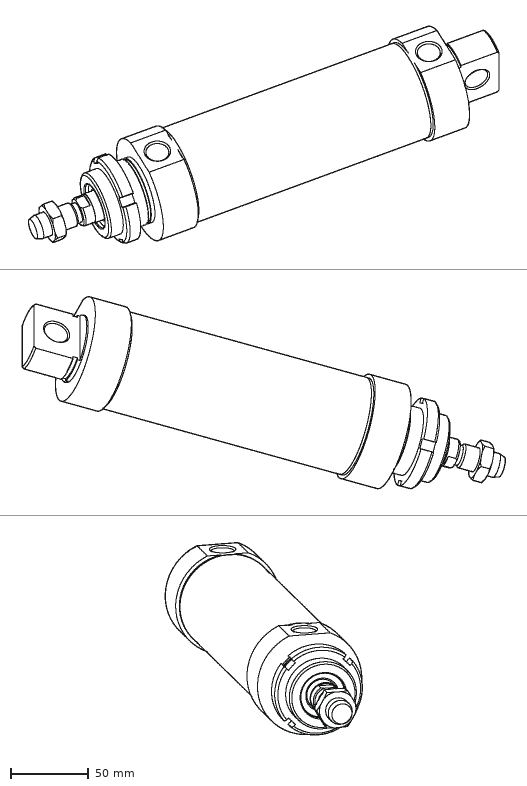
import cadquery as cq
import math

total_length = 329.0
break_edge = 1.3

barrel_dia = 65.0
cap_dia = 70.0
cap_length = 25.0
flat_height = 32.2
lip_dia = barrel_dia
lip_length = 1.5
front_cap_start = 76.5
front_cap_end = front_cap_start + cap_length
rear_cap_end = 296.0
rear_cap_start = rear_cap_end - cap_length
barrel_start = front_cap_end + lip_length
barrel_end = rear_cap_start - lip_length

port_dia = 14.8
port_mouth_dia = 17.0

boss_dia = 45.0
boss_start = 44.0
groove_dia = 43.0
groove_width = 2.0
clevis_groove_dia = 42.0
clevis_groove_width = 3.0
groove_offset = 2.5
recess_dia = 30.0
recess_depth = 3.0
recess_chamfer = 0.5
wiper_dia = 22.0

pad_length = 1.0
tongue_width = 20.7
pin_hole_dia = 16.0
pin_hole_mouth_dia = 18.0
pin_hole_from_end = 15.8

rod_dia = 20.0
collar_dia = 19.5
collar_flats = 17.0
collar_start = 32.2
collar_end = 40.0
flats_end = 38.8
collar_chamfer = 0.5
collar_chamfer_length = 1.3
neck_dia = 13.5
thread_dia = 16.0
thread_end = 29.3
tip_dia = 13.5
tip_length = 4.0
spear_dia = 12.0
spear_end = 292.8

nut_flats = 24.0
nut_width = 8.0
nut_start = 10.2
nut_chamfer = 1.5

ring_dia = 59.0
ring_start = 54.0
ring_end = 63.2
ring_chamfer = 1.5
slot_count = 4
slot_width = 6.5
slot_floor_radius = 26.0


def turned(profile):
    """Solid of revolution about Y from (diameter, y) stations listed along the axis."""
    outline = [(0, profile[0][1])]
    outline += [(dia / 2, y) for dia, y in profile]
    outline += [(0, profile[-1][1])]
    return cq.Workplane("XY").polyline(outline).close().revolve(360, (0, 0, 0), (0, 1, 0))


def cylinder(dia, start, end):
    """Plain cylinder on the Y axis."""
    return turned([(dia, start), (dia, end)])


def port(y):
    """Blind port with a countersunk mouth, sunk from the flat to the axis so it opens onto the rod."""
    mouth_depth = (port_mouth_dia - port_dia) / 2
    plane = cq.Workplane("XY", origin=(0, y, flat_height))
    bore = plane.circle(port_dia / 2).extrude(-flat_height)
    mouth = plane.circle(port_mouth_dia / 2).workplane(offset=-mouth_depth).circle(port_dia / 2).loft()
    return bore.union(mouth)


def cap_body(start, end, lip_start):
    """Round cap with a lip towards the barrel, a flat along the top and a port in the middle of the flat."""
    body = cylinder(cap_dia, start, end).union(cylinder(lip_dia, lip_start, lip_start + lip_length))
    above_flat = cq.Workplane("XY").box(cap_dia, total_length, cap_dia, centered=(True, False, False))
    above_flat = above_flat.translate((0, 0, flat_height))
    return body.cut(above_flat).cut(port((start + end) / 2))


def make_front_cap():
    groove_end = front_cap_start - groove_offset
    groove_start = groove_end - groove_width
    boss = turned([
        (boss_dia - 2 * break_edge, boss_start),
        (boss_dia, boss_start + break_edge),
        (boss_dia, groove_start),
        (groove_dia, groove_start),
        (groove_dia, groove_end),
        (boss_dia, groove_end),
        (boss_dia, front_cap_start),
    ])
    recess_floor = boss_start + recess_depth
    recess = turned([
        (recess_dia + 2 * recess_chamfer, boss_start),
        (recess_dia, boss_start + recess_chamfer),
        (recess_dia, recess_floor),
        (wiper_dia, recess_floor),
        (rod_dia, recess_floor + (wiper_dia - rod_dia) / 2),
    ])
    rod_bore = cylinder(rod_dia, boss_start, barrel_start)
    cap = cap_body(front_cap_start, front_cap_end, front_cap_end)
    return cap.union(boss).cut(recess).cut(rod_bore)


def make_rear_cap():
    groove_start = rear_cap_end + groove_offset
    groove_end = groove_start + clevis_groove_width
    pad_end = rear_cap_end + pad_length
    tongue = turned([
        (boss_dia, rear_cap_end),
        (boss_dia, groove_start),
        (clevis_groove_dia, groove_start),
        (clevis_groove_dia, groove_end),
        (boss_dia, groove_end),
        (boss_dia, total_length - break_edge),
        (boss_dia - 2 * break_edge, total_length),
    ])
    sides = cq.Workplane("XY").box(tongue_width, total_length - pad_end, boss_dia, centered=(True, False, True))
    tongue = tongue.intersect(sides.translate((0, pad_end, 0)))
    pad = cylinder(boss_dia, rear_cap_end, pad_end)
    spear_bore = cylinder(spear_dia, barrel_end, spear_end)
    cap = cap_body(rear_cap_start, rear_cap_end, barrel_end).union(pad).union(tongue).cut(spear_bore)

    pin_y = total_length - pin_hole_from_end
    mouth_depth = (pin_hole_mouth_dia - pin_hole_dia) / 2
    half_width = tongue_width / 2
    pin_hole = cq.Workplane("XY").polyline([
        (-half_width, 0),
        (-half_width, pin_hole_mouth_dia / 2),
        (mouth_depth - half_width, pin_hole_dia / 2),
        (half_width - mouth_depth, pin_hole_dia / 2),
        (half_width, pin_hole_mouth_dia / 2),
        (half_width, 0),
    ]).close().revolve(360, (0, 0, 0), (1, 0, 0))
    return cap.cut(pin_hole.translate((0, pin_y, 0)))


def make_barrel():
    rod_bore = cylinder(rod_dia, barrel_start, barrel_end)
    return cylinder(barrel_dia, barrel_start, barrel_end).cut(rod_bore)


def make_rod():
    rod = turned([
        (tip_dia, 0),
        (thread_dia, tip_length),
        (thread_dia, thread_end - break_edge),
        (neck_dia, thread_end),
        (neck_dia, collar_start),
        (collar_dia - 2 * collar_chamfer, collar_start),
        (collar_dia, collar_start + collar_chamfer_length),
        (collar_dia, collar_end),
        (rod_dia, collar_end),
        (rod_dia, barrel_end),
        (spear_dia, barrel_end),
        (spear_dia, spear_end),
    ])
    flats_length = flats_end - collar_start
    for side in (-1, 1):
        flat = cq.Workplane("XY").box(rod_dia, flats_length, rod_dia, centered=(True, False, True))
        rod = rod.cut(flat.translate((0, collar_start, side * (collar_flats + rod_dia) / 2)))
    return rod


def make_rod_nut():
    corner_dia = nut_flats / math.cos(math.pi / 6)
    nut_end = nut_start + nut_width
    chamfer_length = nut_chamfer * math.tan(math.pi / 6)
    face_dia = corner_dia - 2 * nut_chamfer
    hexagon = cq.Workplane("XZ", origin=(0, nut_end, 0)).polygon(6, corner_dia).extrude(nut_width)
    envelope = turned([
        (face_dia, nut_start),
        (corner_dia, nut_start + chamfer_length),
        (corner_dia, nut_end - chamfer_length),
        (face_dia, nut_end),
    ])
    return hexagon.intersect(envelope).cut(cylinder(thread_dia, nut_start, nut_end))


def make_ring_nut():
    ring = turned([
        (ring_dia - 2 * ring_chamfer, ring_start),
        (ring_dia, ring_start + ring_chamfer),
        (ring_dia, ring_end),
    ]).cut(cylinder(boss_dia, ring_start, ring_end))
    slot = cq.Workplane("XY").box(
        ring_dia, ring_end - ring_start, slot_width, centered=(False, False, True)
    ).translate((slot_floor_radius, ring_start, 0))
    pitch = 360 / slot_count
    for index in range(slot_count):
        ring = ring.cut(slot.rotate((0, 0, 0), (0, 1, 0), pitch * (index + 0.5)))
    return ring


front_cap = make_front_cap()
rear_cap = make_rear_cap()
barrel = make_barrel()
rod = make_rod()
rod_nut = make_rod_nut()
ring_nut = make_ring_nut()

result = cq.Compound.makeCompound([
    front_cap.val(),
    rear_cap.val(),
    barrel.val(),
    rod.val(),
    rod_nut.val(),
    ring_nut.val(),
])